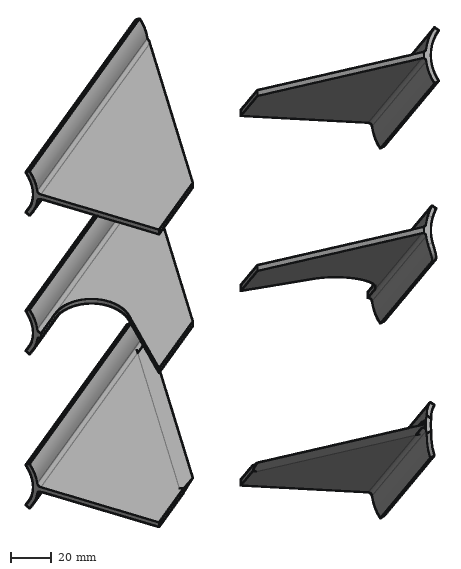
import cadquery as cq
import math

length = 130.2
total_width = 73.0
total_height = 218.8
saddle_thickness = 2.6
fin_thickness = 3.0
inner_radius = 23.0
saddle_height = 28.9
root_radius = 2.0

fin_tip_length = 40.0
slant_start_x = 7.5

cutout_x = 8.5
cutout_radius = 20.0

saddle_corner_radius = 7.5
saddle_corner_chamfer = 10.3
bevel_width = 8.5

upper_spacing = 90.0
plain_z = (total_height - saddle_height) / 2
scalloped_z = plain_z - upper_spacing
bevelled_z = -plain_z

outer_radius = inner_radius + saddle_thickness
half_thickness = fin_thickness / 2
half_angle = math.asin(saddle_height / 2 / outer_radius)
arc_center_x = -inner_radius * math.cos(half_angle)


def arc_point(radius, angle):
    return arc_center_x + radius * math.cos(angle), radius * math.sin(angle)


def extrude_along_y(profile):
    """Extrude an XZ profile from y = 0 to y = length."""
    return profile.extrude(-length)


def make_section():
    """Full-width T-section with rounded fin roots."""
    saddle = extrude_along_y(
        cq.Workplane("XZ")
        .moveTo(*arc_point(inner_radius, -half_angle))
        .threePointArc(arc_point(inner_radius, 0), arc_point(inner_radius, half_angle))
        .lineTo(*arc_point(outer_radius, half_angle))
        .threePointArc(arc_point(outer_radius, 0), arc_point(outer_radius, -half_angle))
        .close()
    )
    fin_start_x = arc_center_x + inner_radius + saddle_thickness / 2
    fin = extrude_along_y(
        cq.Workplane("XZ")
        .moveTo(fin_start_x, -half_thickness)
        .lineTo(total_width, -half_thickness)
        .lineTo(total_width, half_thickness)
        .lineTo(fin_start_x, half_thickness)
        .close()
    )
    root_x = arc_center_x + math.sqrt(outer_radius**2 - half_thickness**2)
    roots = cq.selectors.BoxSelector(
        (root_x - half_thickness / 2, 0, -fin_thickness),
        (root_x + half_thickness / 2, length, fin_thickness),
    )
    return saddle.union(fin).edges("|Y").edges(roots).fillet(root_radius)


def make_plain_fin():
    """T-section with the rear corner of the fin cut off along a slant."""
    corner = (
        cq.Workplane("XY")
        .moveTo(slant_start_x, length)
        .lineTo(total_width, fin_tip_length)
        .lineTo(total_width, length)
        .close()
        .extrude(half_thickness + root_radius, both=True)
    )
    return make_section().cut(corner)


def rear_corner_edges(body):
    """The two short edges where the saddle's long tips meet its rear end."""
    tip_x, tip_z = arc_point((inner_radius + outer_radius) / 2, half_angle)
    edges = body.edges(cq.selectors.NearestToPointSelector((tip_x, length, tip_z)))
    return edges.add(body.edges(cq.selectors.NearestToPointSelector((tip_x, length, -tip_z))))


def make_scalloped_fin():
    """Fin with rounded saddle corners and a front cutout running along the root, then out at 45 degrees."""
    cutout_depth = total_width - cutout_x
    cutout = (
        cq.Workplane("XY")
        .moveTo(cutout_x, 0)
        .lineTo(total_width, 0)
        .lineTo(cutout_x, cutout_depth)
        .close()
        .extrude(fin_thickness, both=True)
        .edges("|Z and >Y")
        .fillet(cutout_radius)
    )
    return rear_corner_edges(make_plain_fin()).fillet(saddle_corner_radius).cut(cutout)


def make_bevelled_fin():
    """Fin with chamfered saddle corners and its slanted edge bevelled from both faces to a sharp edge."""
    body = rear_corner_edges(make_plain_fin()).chamfer(saddle_corner_chamfer)
    run_x = total_width - slant_start_x
    run_y = length - fin_tip_length
    slant_plane = cq.Plane(
        origin=(slant_start_x, length, 0),
        xDir=(-run_y, -run_x, 0),
        normal=(run_x, -run_y, 0),
    )
    outside = fin_thickness
    overshoot = half_thickness * outside / bevel_width
    slant_length = math.hypot(run_x, run_y)
    saddle_core = extrude_along_y(
        cq.Workplane("XZ").center(arc_center_x, 0).circle(outer_radius)
    )
    for side in (-1, 1):
        wedge = (
            cq.Workplane(slant_plane)
            .workplane(offset=-bevel_width)
            .moveTo(-outside, -side * overshoot)
            .lineTo(bevel_width, side * half_thickness)
            .lineTo(-outside, side * half_thickness)
            .close()
            .extrude(slant_length + 2 * bevel_width)
        )
        body = body.cut(wedge.cut(saddle_core))
    return body


plain_fin = make_plain_fin().translate((0, 0, plain_z))
scalloped_fin = make_scalloped_fin().translate((0, 0, scalloped_z))
bevelled_fin = make_bevelled_fin().translate((0, 0, bevelled_z))

result = cq.Compound.makeCompound([plain_fin.val(), scalloped_fin.val(), bevelled_fin.val()])